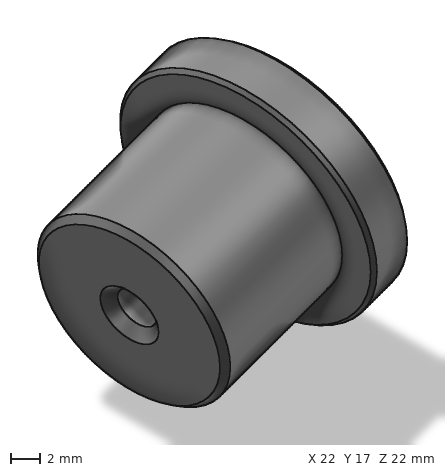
import cadquery as cq
import math

flange_diameter = 22.0
flange_thickness = 4.0
flange_chamfer = 0.3
shank_diameter = 16.5
shank_chamfer = 0.5
total_length = 17.0

hole_diameter = 3.3
hole_depth = 10.0
drill_tip_angle = 118.0
countersink_diameter = 5.0
countersink_angle = 90.0

flange_radius = flange_diameter / 2
shank_radius = shank_diameter / 2
hole_radius = hole_diameter / 2
countersink_radius = countersink_diameter / 2
flange_face = total_length - flange_thickness


def cone_height(radius_change, included_angle):
    """Axial length of a cone over which its radius changes by the given amount."""
    return radius_change / math.tan(math.radians(included_angle / 2))


def revolve_about_y(half_profile):
    """Turn a closed (radius, Y) half profile about the Y axis."""
    return cq.Workplane("XY").polyline(half_profile).close().revolve(360, (0, 0, 0), (0, 1, 0))


plug = revolve_about_y([
    (0, 0),
    (shank_radius - shank_chamfer, 0),
    (shank_radius, shank_chamfer),
    (shank_radius, flange_face),
    (flange_radius - flange_chamfer, flange_face),
    (flange_radius, flange_face + flange_chamfer),
    (flange_radius, total_length - flange_chamfer),
    (flange_radius - flange_chamfer, total_length),
    (0, total_length),
])

countersink_depth = cone_height(countersink_radius - hole_radius, countersink_angle)
drill_tip_height = cone_height(hole_radius, drill_tip_angle)
hole = revolve_about_y([
    (0, 0),
    (countersink_radius, 0),
    (hole_radius, countersink_depth),
    (hole_radius, hole_depth),
    (0, hole_depth + drill_tip_height),
])

result = plug.cut(hole)